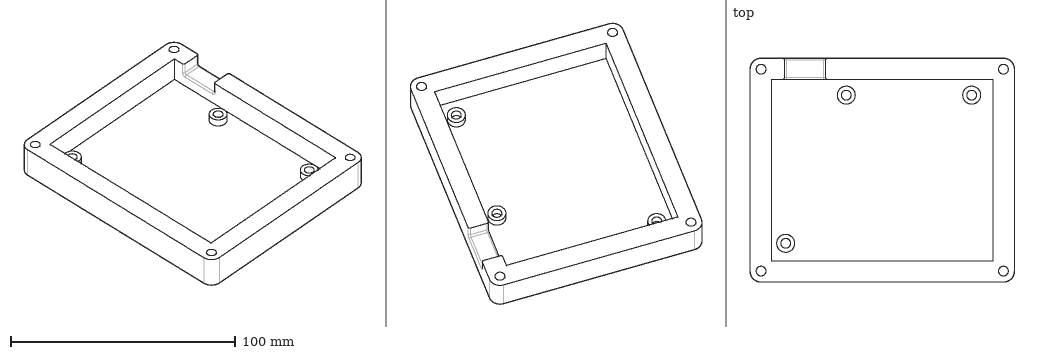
import cadquery as cq

length = 118.0
width = 100.0
height = 15.0
corner_radius = 5.0

wall = 9.5
floor_thickness = 3.0
cavity_depth = height - floor_thickness

screw_hole_diameter = 4.4
screw_hole_depth = cavity_depth

standoff_diameter = 8.0
standoff_height = 3.5
standoff_hole_diameter = 4.4
first_standoff_x = 15.9
second_standoff_x = 43.0
third_standoff_x = 98.9
near_standoff_y = 17.3
far_standoff_y = 83.4
standoff_points = [
    (first_standoff_x, near_standoff_y),
    (second_standoff_x, far_standoff_y),
    (third_standoff_x, far_standoff_y),
]

notch_left = 15.3
notch_width = 18.4
notch_depth = 6.0
notch_fillet = 0.88


def box(x, y, z, size_x, size_y, size_z):
    """Box with its lowest corner at (x, y, z)."""
    return cq.Workplane("XY").box(size_x, size_y, size_z, centered=False).translate((x, y, z))


def make_tray():
    """Block with rounded corners, hollowed out from the top."""
    block = box(0, 0, 0, length, width, height).edges("|Z").fillet(corner_radius)
    cavity = box(wall, wall, floor_thickness, length - 2 * wall, width - 2 * wall, cavity_depth)
    return block.cut(cavity)


def cut_notch(body):
    """Cut the notch, then round its floor corners and its rims on both wall faces."""
    back_wall_y = width - wall
    notch_floor = height - notch_depth
    notch = box(notch_left, back_wall_y, notch_floor, notch_width, wall, notch_depth)
    notch = notch.edges("|Y and <Z").fillet(notch_fillet)
    body = body.cut(notch)

    margin = notch_fillet / 2
    rim_edges = []
    for face_y in (back_wall_y, width):
        rim_selector = cq.selectors.BoxSelector(
            (notch_left - margin, face_y - margin, notch_floor - margin),
            (notch_left + notch_width + margin, face_y + margin, height - margin),
        )
        rim_edges += body.edges(rim_selector).vals()
    return body.newObject(rim_edges).fillet(notch_fillet)


def drill_corner_holes(body):
    """Drill the screw holes down from the top rim."""
    holes = (
        cq.Workplane("XY", origin=(length / 2, width / 2, height))
        .rect(length - 2 * corner_radius, width - 2 * corner_radius, forConstruction=True)
        .vertices()
        .circle(screw_hole_diameter / 2)
        .extrude(-screw_hole_depth)
    )
    return body.cut(holes)


def add_standoffs(body):
    """Stand the hollow posts on the cavity floor."""
    posts = (
        cq.Workplane("XY", origin=(0, 0, floor_thickness))
        .pushPoints(standoff_points)
        .circle(standoff_diameter / 2)
        .circle(standoff_hole_diameter / 2)
        .extrude(standoff_height)
    )
    return body.union(posts)


tray = make_tray()
tray = cut_notch(tray)
tray = drill_corner_holes(tray)
result = add_standoffs(tray)